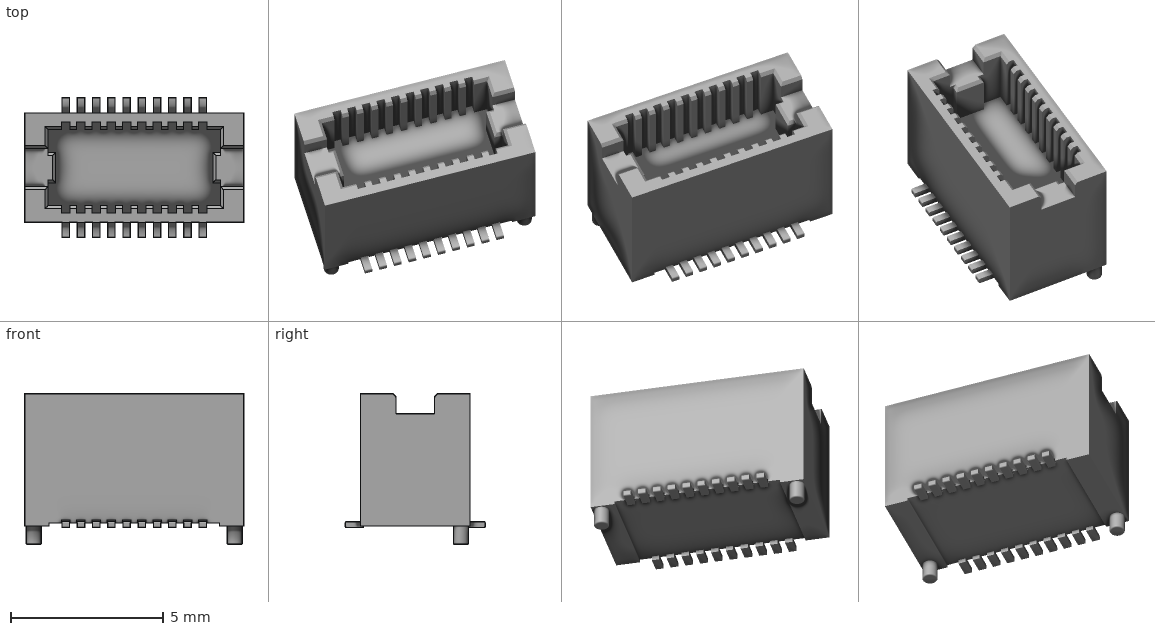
import cadquery as cq

body_length = 7.2
body_width = 3.6
body_height = 4.35
edge_chamfer = 0.1

relief_length = 5.6
relief_height = 0.1

cavity_length = 5.66
cavity_width = 2.5
cavity_depth = 2.0
cavity_floor = body_height - cavity_depth
chamfer_base = body_height - edge_chamfer

notch_width = 1.25
notch_depth = 0.65
notch_floor = body_height - notch_depth
tongue_width = 1.0
tongue_reach = 0.25

contact_count = 10
contact_pitch = 0.5
groove_width = 0.28
groove_span = 3.0
lead_width = 0.25
lead_span = 4.6
lead_bottom = -0.05
lead_thickness = 0.2
lead_top = lead_bottom + lead_thickness
lead_fillet = 0.05
lead_inset = 0.1
lead_clearance = 0.05
lead_inner_y = body_width / 2 - lead_inset
pocket_top = lead_top + lead_clearance

peg_diameter = 0.5
peg_length = 0.6
peg_fillet = 0.05
peg_x = 3.3
peg_y = 1.5


def box(x_range, y_range, z_range):
    """Box spanning the given (low, high) ranges."""
    size = [high - low for low, high in (x_range, y_range, z_range)]
    corner = (x_range[0], y_range[0], z_range[0])
    return cq.Workplane("XY").box(*size, centered=False).translate(corner)


def centred_box(length, width, bottom, top):
    """Box centred on the Z axis between two heights."""
    return box((-length / 2, length / 2), (-width / 2, width / 2), (bottom, top))


def contact_positions():
    """X positions of the contacts, centred on the housing."""
    first_x = -contact_pitch * (contact_count - 1) / 2
    return [first_x + index * contact_pitch for index in range(contact_count)]


def make_cavity():
    """Rectangular cavity with a chamfered mouth, less the two end tongues."""
    cavity = centred_box(cavity_length, cavity_width, cavity_floor, body_height)
    mouth = (
        cq.Workplane("XY", origin=(0, 0, body_height))
        .rect(cavity_length + 2 * edge_chamfer, cavity_width + 2 * edge_chamfer)
        .extrude(-edge_chamfer, taper=45)
    )
    return cavity.cut(make_tongues()).union(mouth)


def make_tongues():
    """Raised pads on the cavity end walls, chamfered around their top edges."""
    wall_x = cavity_length / 2
    inner_x = wall_x - tongue_reach
    half_width = tongue_width / 2
    right = box((inner_x, wall_x), (-half_width, half_width), (cavity_floor, notch_floor))
    right = right.faces(">Z").edges("<X or <Y or >Y").chamfer(edge_chamfer)
    return right.union(right.mirror("YZ"))


def make_notch():
    """Notch along X through both end walls, with chamfered upper edges."""
    half_width = notch_width / 2
    half_mouth = half_width + edge_chamfer
    profile = [
        (-half_width, notch_floor),
        (half_width, notch_floor),
        (half_width, chamfer_base),
        (half_mouth, body_height),
        (-half_mouth, body_height),
        (-half_width, chamfer_base),
    ]
    end_wall = (body_length - cavity_length) / 2
    right = (
        cq.Workplane("YZ", origin=(cavity_length / 2, 0, 0))
        .polyline(profile)
        .close()
        .extrude(end_wall)
    )
    return right.union(right.mirror("YZ"))


def make_groove(x):
    """Opposed contact grooves in both long walls of the cavity."""
    groove = centred_box(groove_width, groove_span, cavity_floor, body_height)
    return groove.translate((x, 0, 0))


def make_lead_pocket(x):
    """Clearance pocket in the -Y side around the root of one lead."""
    half_width = groove_width / 2
    return box(
        (x - half_width, x + half_width),
        (-body_width / 2, -lead_inner_y),
        (0, pocket_top),
    )


def make_lead(x):
    """Flat solder lead on the -Y side, rounded at its outer end."""
    half_width = lead_width / 2
    lead = box(
        (x - half_width, x + half_width),
        (-lead_span / 2, -lead_inner_y),
        (lead_bottom, lead_top),
    )
    return lead.faces("<Y").edges("|X").fillet(lead_fillet)


def make_peg(x):
    """Round locating peg below the housing, rounded at its tip."""
    return (
        cq.Workplane("XY", origin=(x, peg_y, 0))
        .circle(peg_diameter / 2)
        .extrude(-peg_length)
        .faces("<Z")
        .edges()
        .fillet(peg_fillet)
    )


def make_part():
    """Housing with its cavity, leads and pegs."""
    part = centred_box(body_length, body_width, 0, body_height)
    part = part.cut(centred_box(relief_length, body_width, 0, relief_height))
    part = part.cut(make_cavity()).cut(make_notch())
    for x in contact_positions():
        part = part.cut(make_groove(x))
        pocket = make_lead_pocket(x)
        part = part.cut(pocket).cut(pocket.mirror("XZ"))
    for x in contact_positions():
        lead = make_lead(x)
        part = part.union(lead).union(lead.mirror("XZ"))
    for x in (-peg_x, peg_x):
        part = part.union(make_peg(x))
    return part


result = make_part()